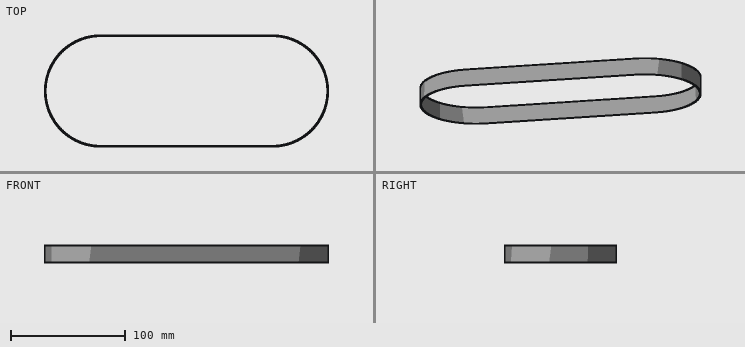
import cadquery as cq

center_distance = 150.0
outer_diameter = 97.5
wall_thickness = 1.0
band_height = 15.0


def stadium_prism(diameter):
    """Upright prism with straight sides along X and semicircular ends."""
    overall_length = center_distance + diameter
    return cq.Workplane("XY").slot2D(overall_length, diameter).extrude(band_height)


inner_diameter = outer_diameter - 2 * wall_thickness
result = stadium_prism(outer_diameter).cut(stadium_prism(inner_diameter))